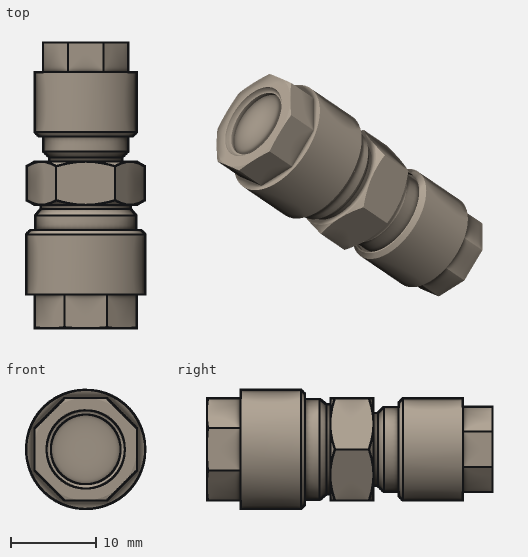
import cadquery as cq
import math

length = 33.5

front_octagon_flats = 12.0
front_nut_start = 3.95
front_nut_end = 11.52
front_nut_radius = 7.0
front_nut_chamfer = 0.5

front_thread_radius = 5.93
front_thread_end = 13.23
front_neck_start = 14.0
front_neck_radius = 5.3

hexagon_flats = 12.0
hexagon_start = 14.47
hexagon_end = 19.53
bevel_angle = math.radians(30)

rear_neck_radius = 4.3
rear_neck_end = 20.03
rear_thread_start = 20.75
rear_thread_radius = 5.0

rear_nut_start = 22.48
rear_nut_end = 30.0
rear_nut_radius = 6.0
rear_nut_chamfer = 0.5
rear_clearance_radius = 5.33
rear_clearance_depth = 0.67
rear_octagon_flats = 10.0

socket_radius = 4.1
lip_radius = 0.5
socket_depth = 1.0

octagon_bevel_angle = math.radians(15)


def section_plane(station):
    """Plane across the axis, with its normal pointing to the rear."""
    return cq.Workplane(cq.Plane(origin=(0, station, 0), xDir=(1, 0, 0), normal=(0, 1, 0)))


def polygon_prism(sides, flats, start, end):
    """Regular prism with flats facing up and down."""
    corner_diameter = flats / math.cos(math.pi / sides)
    prism = section_plane(start).polygon(sides, corner_diameter).extrude(end - start)
    turn = 180 / sides if sides % 4 == 0 else 0
    return prism.rotate((0, 0, 0), (0, 1, 0), turn)


def revolved(profile):
    """Solid of revolution about Y from (radius, station) points."""
    return cq.Workplane("XY").polyline(profile).close().revolve(360, (0, 0), (0, 1))


def bevel_envelope(sides, flats, start, end, angle, both_ends):
    """Turned blank whose conical ends trim the corners of a prism down to the flats."""
    flat_radius = flats / 2
    corner_radius = flat_radius / math.cos(math.pi / sides)
    bevel_length = (corner_radius - flat_radius) * math.tan(angle)
    profile = [(0, start), (flat_radius, start), (corner_radius, start + bevel_length)]
    if both_ends:
        profile += [(corner_radius, end - bevel_length), (flat_radius, end)]
    else:
        profile += [(corner_radius, end)]
    return revolved(profile + [(0, end)])


body = revolved([
    (0, front_nut_start),
    (front_nut_radius, front_nut_start),
    (front_nut_radius, front_nut_end - front_nut_chamfer),
    (front_nut_radius - front_nut_chamfer, front_nut_end),
    (front_thread_radius, front_nut_end),
    (front_thread_radius, front_thread_end),
    (front_neck_radius, front_neck_start),
    (front_neck_radius, hexagon_start),
    (rear_neck_radius, hexagon_start),
    (rear_neck_radius, rear_neck_end),
    (rear_thread_radius, rear_thread_start),
    (rear_thread_radius, rear_nut_start + rear_clearance_depth),
    (rear_clearance_radius, rear_nut_start + rear_clearance_depth),
    (rear_clearance_radius, rear_nut_start),
    (rear_nut_radius - rear_nut_chamfer, rear_nut_start),
    (rear_nut_radius, rear_nut_start + rear_nut_chamfer),
    (rear_nut_radius, rear_nut_end),
    (0, rear_nut_end),
])

hexagon = polygon_prism(6, hexagon_flats, hexagon_start, hexagon_end).intersect(
    bevel_envelope(6, hexagon_flats, hexagon_start, hexagon_end, bevel_angle, True)
)
front_octagon = polygon_prism(8, front_octagon_flats, 0, front_nut_start).intersect(
    bevel_envelope(8, front_octagon_flats, 0, front_nut_start, octagon_bevel_angle, False)
)
rear_octagon = polygon_prism(8, rear_octagon_flats, rear_nut_end, length)

socket = (
    cq.Workplane("XY")
    .moveTo(0, 0)
    .lineTo(socket_radius + lip_radius, 0)
    .radiusArc((socket_radius, lip_radius), -lip_radius)
    .lineTo(socket_radius, socket_depth)
    .lineTo(0, socket_depth)
    .close()
    .revolve(360, (0, 0), (0, 1))
)

fitting = body.union(hexagon).union(front_octagon).union(rear_octagon).cut(socket)
result = fitting.translate((0, -length / 2, 0))